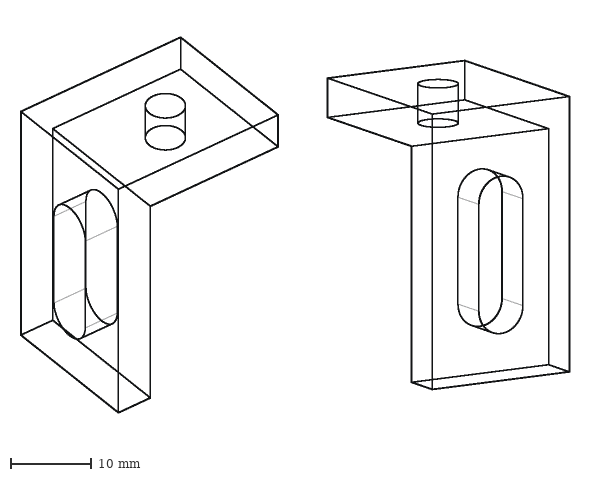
import cadquery as cq

width = 20.0
depth = 25.0
height = 35.0
thickness = 5.0

slot_width = 6.4
slot_length = 20.0
slot_center_height = 16.0

hole_diameter = 5.0
hole_from_back = 10.0


def make_angle():
    """L-shaped body: upright leg at the front, horizontal leg along the top."""
    profile = [
        (0, 0),
        (thickness, 0),
        (thickness, height - thickness),
        (depth, height - thickness),
        (depth, height),
        (0, height),
    ]
    return cq.Workplane("YZ").polyline(profile).close().extrude(width / 2, both=True)


def make_slot():
    """Round-ended cutter through the thickness of the upright leg."""
    return (
        cq.Workplane("XZ")
        .center(0, slot_center_height)
        .slot2D(slot_length, slot_width, 90)
        .extrude(-thickness)
    )


def make_hole():
    """Cylindrical cutter through the thickness of the top leg."""
    return (
        cq.Workplane("XY", origin=(0, depth - hole_from_back, height - thickness))
        .circle(hole_diameter / 2)
        .extrude(thickness)
    )


result = make_angle().cut(make_slot()).cut(make_hole())